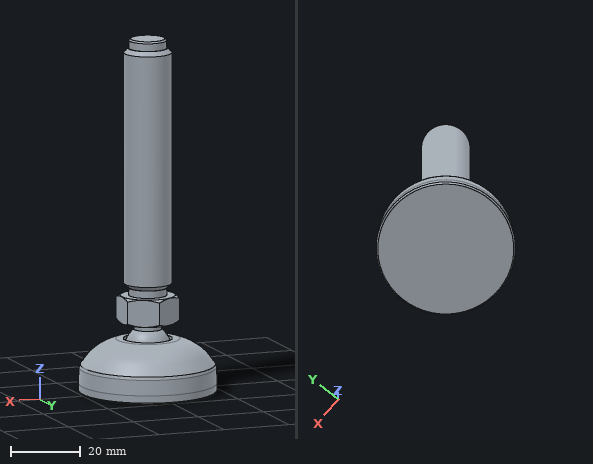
import cadquery as cq
import math


pad_radius = 20.0
pad_edge_chamfer = 0.5
pad_band_height = 2.6
pad_wall_top_radius = 19.75
pad_wall_top_z = 7.1
dome_base_radius = 19.45
dome_base_z = 8.0
dome_top_radius = 9.2
dome_top_z = 15.5
dome_curve_radius = 16.0

socket_diameter = 14.0
ball_diameter = 13.28
ball_neck_diameter = 8.06
ball_neck_z = 18.25

hex_across_flats = 16.0
hex_height = 8.0
hex_bottom_z = 20.2
hex_face_diameter = 15.9
hex_chamfer_angle = 30.0

total_height = 103.2
thread_diameter = 14.0
relief_diameter = 11.0
relief_length = 2.2
thread_chamfer = 1.3
tip_length = 2.75
tip_chamfer = 0.5

ball_radius = ball_diameter / 2
neck_radius = ball_neck_diameter / 2
ball_center_z = ball_neck_z - math.sqrt(ball_radius**2 - neck_radius**2)
hex_top_z = hex_bottom_z + hex_height


def revolve_profile(profile):
    """Turn a closed half profile, drawn as (radius, Z), about the Z axis."""
    return profile.close().revolve(360, (0, 0, 0), (0, 1, 0))


def make_pad():
    """Domed pad with a tapered wall and a cylindrical socket down to the ball's equator."""
    body = revolve_profile(
        cq.Workplane("XZ")
        .moveTo(0, 0)
        .lineTo(pad_radius - pad_edge_chamfer, 0)
        .lineTo(pad_radius, pad_edge_chamfer)
        .lineTo(pad_radius, pad_band_height)
        .lineTo(pad_wall_top_radius, pad_wall_top_z)
        .lineTo(dome_base_radius, dome_base_z)
        .radiusArc((dome_top_radius, dome_top_z), -dome_curve_radius)
        .lineTo(0, dome_top_z)
    )
    socket = (
        cq.Workplane("XY", origin=(0, 0, ball_center_z))
        .circle(socket_diameter / 2)
        .extrude(dome_top_z - ball_center_z)
    )
    return body.cut(socket)


def make_ball_and_neck():
    """Ball seated in the pad, with the neck that joins it to the hexagon."""
    ball = cq.Workplane("XY", origin=(0, 0, ball_center_z)).sphere(ball_radius)
    neck = (
        cq.Workplane("XY", origin=(0, 0, ball_center_z))
        .circle(neck_radius)
        .extrude(hex_bottom_z - ball_center_z)
    )
    return ball.union(neck)


def make_hexagon():
    """Hexagon whose corners are turned off by a cone at both ends."""
    corner_radius = hex_across_flats / math.sqrt(3)
    face_radius = hex_face_diameter / 2
    corner_drop = (corner_radius - face_radius) * math.tan(math.radians(hex_chamfer_angle))
    prism = (
        cq.Workplane("XY", origin=(0, 0, hex_bottom_z))
        .polygon(6, 2 * corner_radius)
        .extrude(hex_height)
        .rotate((0, 0, 0), (0, 0, 1), 90)
    )
    envelope = revolve_profile(
        cq.Workplane("XZ")
        .moveTo(0, hex_bottom_z)
        .lineTo(face_radius, hex_bottom_z)
        .lineTo(corner_radius, hex_bottom_z + corner_drop)
        .lineTo(corner_radius, hex_top_z - corner_drop)
        .lineTo(face_radius, hex_top_z)
        .lineTo(0, hex_top_z)
    )
    return prism.intersect(envelope)


def make_stud():
    """Plain thread cylinder with 45 degree chamfers, between the relief groove and the tip."""
    thread_radius = thread_diameter / 2
    relief_radius = relief_diameter / 2
    chamfer_end_radius = thread_radius - thread_chamfer
    thread_bottom_z = hex_top_z + relief_length
    thread_top_z = total_height - tip_length
    return revolve_profile(
        cq.Workplane("XZ")
        .moveTo(0, hex_top_z)
        .lineTo(relief_radius, hex_top_z)
        .lineTo(relief_radius, thread_bottom_z)
        .lineTo(chamfer_end_radius, thread_bottom_z)
        .lineTo(thread_radius, thread_bottom_z + thread_chamfer)
        .lineTo(thread_radius, thread_top_z - thread_chamfer)
        .lineTo(chamfer_end_radius, thread_top_z)
        .lineTo(relief_radius, thread_top_z)
        .lineTo(relief_radius, total_height - tip_chamfer)
        .lineTo(relief_radius - tip_chamfer, total_height)
        .lineTo(0, total_height)
    )


result = make_pad().union(make_ball_and_neck()).union(make_hexagon()).union(make_stud())